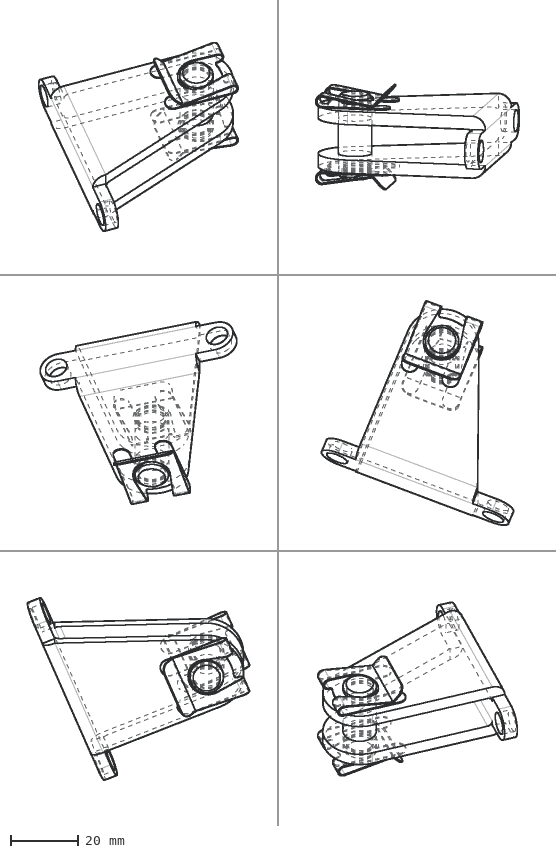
import cadquery as cq
import math

sheet = 4.0
overall_length = 60.0
plate_height = 10.75
mount_hole_diameter = 6.6
mount_hole_spacing = 50.0
inner_bend_radius = 1.5
leg_outer_z = plate_height / 2 + sheet
leg_left_x = -19.0
leg_right_x = 18.4
ear_radius = 11.0
pin_y = 42.0
ear_end_y = pin_y + ear_radius

pin_diameter = 10.0
pin_x = leg_left_x + ear_radius
groove_diameter = 8.0
shoulder_height = 0.35
groove_start_z = leg_outer_z + shoulder_height
groove_width = 1.0
head_length = 1.9
head_chamfer = 0.95
pin_end_z = groove_start_z + groove_width + head_length

strip = 0.4
clip_width = 18.0
clip_base_z = groove_start_z
loop_radius = 1.85
loop_y = 50.2
loop_z = clip_base_z + loop_radius
fork_end_y = 29.95
leaf_angle = math.radians(9.8)
lip_angle = math.radians(48.6)
leaf_bend_y = 34.55
lip_length = 5.45
lip_corner_radius = 2.7
loop_slot_width = 8.35
loop_slot_crest_y = 49.85
loop_slot_side_y = 49.15
loop_slot_corner_radius = 0.7
head_clearance_radius = 5.6


def move(point, direction, distance):
    """Return the (Y, Z) point moved along a direction."""
    return (point[0] + direction[0] * distance, point[1] + direction[1] * distance)


def tangent_point(offset_x, offset_y, radius):
    """Right-hand point where a line from the given offset touches a circle about the origin."""
    distance = math.hypot(offset_x, offset_y)
    spread = math.acos(radius / distance)
    side = 1 if offset_y < 0 else -1
    angle = math.atan2(offset_y, offset_x) + side * spread
    return (radius * math.cos(angle), radius * math.sin(angle))


def make_leg_outline():
    """Tapered leg shape: straight left side, round ear and slanted right side."""
    touch_x, touch_y = tangent_point(leg_right_x - pin_x, sheet - pin_y, ear_radius)
    return (
        cq.Workplane("XY", origin=(0, 0, -leg_outer_z))
        .moveTo(leg_left_x, 0)
        .lineTo(leg_left_x, pin_y)
        .threePointArc((pin_x, ear_end_y), (pin_x + touch_x, pin_y + touch_y))
        .lineTo(leg_right_x, sheet)
        .lineTo(leg_right_x, 0)
        .close()
        .extrude(2 * leg_outer_z)
    )


def make_legs():
    """Pair of legs joined by a bend, open between them."""
    bend_edges = "|X and <Y"
    opening = (
        cq.Workplane("XY")
        .box(overall_length, ear_end_y, plate_height, centered=(True, False, True))
        .translate((0, sheet, 0))
        .edges(bend_edges)
        .fillet(inner_bend_radius)
    )
    envelope = (
        cq.Workplane("XY")
        .box(overall_length, ear_end_y, 2 * leg_outer_z, centered=(True, False, True))
        .edges(bend_edges)
        .fillet(sheet)
    )
    return make_leg_outline().intersect(envelope).cut(opening)


def make_mounting_plate():
    """Round-ended plate with a mounting hole at each end."""
    facing_y = cq.Workplane("XZ", origin=(0, sheet, 0))
    plate = facing_y.slot2D(overall_length, plate_height).extrude(sheet)
    holes = (
        facing_y.pushPoints([(-mount_hole_spacing / 2, 0), (mount_hole_spacing / 2, 0)])
        .circle(mount_hole_diameter / 2)
        .extrude(sheet)
    )
    return plate.cut(holes)


def make_bracket():
    pin_hole = (
        cq.Workplane("XY")
        .center(pin_x, pin_y)
        .circle(pin_diameter / 2)
        .extrude(leg_outer_z, both=True)
    )
    return make_legs().union(make_mounting_plate()).cut(pin_hole)


def make_pin():
    """Round pin with a chamfer and a clip groove at each end."""
    pin = (
        cq.Workplane("XY")
        .circle(pin_diameter / 2)
        .extrude(pin_end_z, both=True)
        .faces("<Z or >Z")
        .chamfer(head_chamfer)
    )
    groove = (
        cq.Workplane("XY", origin=(0, 0, groove_start_z))
        .circle(pin_diameter / 2)
        .circle(groove_diameter / 2)
        .extrude(groove_width)
    )
    pin = pin.cut(groove).cut(groove.mirror("XY"))
    return pin.translate((pin_x, pin_y, 0))


def extrude_strip(profile):
    """Extrude a (Y, Z) profile across the clip width, centred on the pin."""
    return profile.extrude(clip_width / 2, both=True)


def make_lower_leaf():
    """Flat fork with round-ended legs that straddle the pin groove."""
    leg_width = (clip_width - groove_diameter) / 2
    leg_end_radius = leg_width / 2
    fork_legs_y = fork_end_y + leg_end_radius
    base = cq.Workplane("XY", origin=(pin_x, 0, clip_base_z))
    return (
        base.moveTo(-clip_width / 2, loop_y)
        .lineTo(-clip_width / 2, fork_legs_y)
        .threePointArc((leg_end_radius - clip_width / 2, fork_end_y), (-groove_diameter / 2, fork_legs_y))
        .lineTo(-groove_diameter / 2, pin_y)
        .threePointArc((0, pin_y + groove_diameter / 2), (groove_diameter / 2, pin_y))
        .lineTo(groove_diameter / 2, fork_legs_y)
        .threePointArc((clip_width / 2 - leg_end_radius, fork_end_y), (clip_width / 2, fork_legs_y))
        .lineTo(clip_width / 2, loop_y)
        .close()
        .extrude(strip)
    )


def make_folded_strip():
    """Loop, sloping upper leaf and raised lip, without the cut-outs."""
    side = cq.Workplane("YZ", origin=(pin_x, 0, 0))
    centre = (loop_y, loop_z)
    inner_radius = loop_radius - strip
    leaf_normal = (-math.sin(leaf_angle), math.cos(leaf_angle))
    lip_normal = (math.sin(lip_angle), math.cos(lip_angle))
    lip_direction = (-math.cos(lip_angle), math.sin(lip_angle))

    leaf_outer = move(centre, leaf_normal, loop_radius)
    leaf_inner = move(centre, leaf_normal, inner_radius)
    bend_inner = (leaf_bend_y, leaf_inner[1] - (leaf_inner[0] - leaf_bend_y) * math.tan(leaf_angle))
    mitre_scale = strip / (1 + math.cos(leaf_angle + lip_angle))
    mitre = (leaf_normal[0] + lip_normal[0], leaf_normal[1] + lip_normal[1])
    bend_outer = move(bend_inner, mitre, mitre_scale)
    lip_inner = move(bend_inner, lip_direction, lip_length)
    lip_outer = move(lip_inner, lip_normal, strip)

    loop_and_leaf = extrude_strip(
        side.moveTo(loop_y, clip_base_z)
        .threePointArc((loop_y + loop_radius, loop_z), leaf_outer)
        .lineTo(*bend_outer)
        .lineTo(*bend_inner)
        .lineTo(*leaf_inner)
        .threePointArc((loop_y + inner_radius, loop_z), (loop_y, clip_base_z + strip))
        .close()
    )
    lip = extrude_strip(side.polyline([bend_inner, bend_outer, lip_outer, lip_inner]).close())
    free_corners = cq.selectors.BoxSelector(
        (pin_x - clip_width, lip_outer[0] - strip, lip_inner[1] - strip),
        (pin_x + clip_width, lip_outer[0] + strip, lip_inner[1] + strip),
    )
    lip = lip.edges(free_corners).edges("not |X").fillet(lip_corner_radius)
    return loop_and_leaf.union(lip)


def make_loop_slot():
    """Slot that splits the loop and ends in a shallow arch on the lower leaf."""
    half_width = loop_slot_width / 2
    loop_end_y = loop_y + loop_radius
    return (
        cq.Workplane("XY", origin=(pin_x, 0, clip_base_z))
        .moveTo(-half_width, loop_end_y)
        .lineTo(-half_width, loop_slot_side_y)
        .threePointArc((0, loop_slot_crest_y), (half_width, loop_slot_side_y))
        .lineTo(half_width, loop_end_y)
        .close()
        .extrude(2 * loop_radius)
        .edges("|Z and <Y")
        .fillet(loop_slot_corner_radius)
    )


def make_head_opening():
    """Keyhole in the upper leaf that clears the pin head and runs into the loop slot."""
    half_width = loop_slot_width / 2
    touch_x, touch_y = tangent_point(half_width, loop_y - pin_y, head_clearance_radius)
    return (
        cq.Workplane("XY", origin=(pin_x, pin_y, clip_base_z + strip))
        .moveTo(-half_width, loop_y - pin_y)
        .lineTo(-touch_x, touch_y)
        .threePointArc((0, -head_clearance_radius), (touch_x, touch_y))
        .lineTo(half_width, loop_y - pin_y)
        .close()
        .extrude(2 * loop_radius)
    )


def make_clip():
    strip_body = make_folded_strip().cut(make_head_opening())
    return strip_body.union(make_lower_leaf()).cut(make_loop_slot())


bracket = make_bracket()
pin = make_pin()
upper_clip = make_clip()
clips = []
for clip in (upper_clip, upper_clip.mirror("XY")):
    clips.append(clip.val())

result = cq.Compound.makeCompound([bracket.val(), pin.val(), *clips])